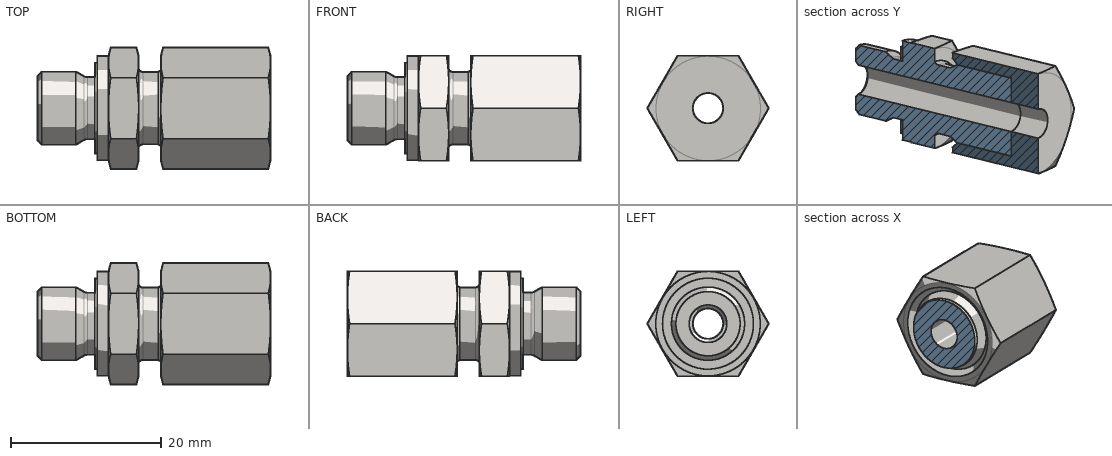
import cadquery as cq
import math


across_flats = 14.0
hex_corner_radius = across_flats / math.sqrt(3)
corner_bevel_angle = math.radians(15)
bevel_start_radius = 6.95

relief_start = 5.13
seal_start = 7.65
collar_start = 7.93
hex_start = 9.44
hex_end = 13.47
nut_start = 16.4
total_length = 31.0

stud_radius = 4.87
stud_chamfer = 0.6
relief_radius = 4.15
relief_angle = math.radians(30)
relief_fillet = 0.9

collar_radius = bevel_start_radius
seal_radius = 6.05

neck_radius = 4.83
neck_fillet = 0.65
neck_fillet_angle = math.radians(60)
flare_start = 16.05
flare_angle = math.radians(30)
shank_radius = 5.5
shank_length = 10.0
mouth_radius = 6.25

bore_radius = 2.0
bore_chamfer = 0.5

hex_bevel = (hex_corner_radius - bevel_start_radius) * math.tan(corner_bevel_angle)
flare_end = flare_start + (shank_radius - neck_radius) / math.tan(flare_angle)


def turned(profile):
    """Revolve a profile, drawn with X along the axis and Y as the radius, about the X axis."""
    return profile.close().revolve(360, (0, 0, 0), (1, 0, 0))


def cylinder(start, end, radius):
    """Cylinder on the X axis."""
    return cq.Workplane("YZ", origin=(start, 0, 0)).circle(radius).extrude(end - start)


def bevelled_hexagon(start, end):
    """Hexagonal bar with flats above and below and its corners bevelled at both ends."""
    bar = (
        cq.Workplane("YZ", origin=(start, 0, 0))
        .polygon(6, 2 * hex_corner_radius)
        .extrude(end - start)
    )
    envelope = turned(
        cq.Workplane("XY")
        .moveTo(start, 0)
        .lineTo(start, bevel_start_radius)
        .lineTo(start + hex_bevel, hex_corner_radius)
        .lineTo(end - hex_bevel, hex_corner_radius)
        .lineTo(end, bevel_start_radius)
        .lineTo(end, 0)
    )
    return bar.intersect(envelope)


def stud():
    """Chamfered stud whose relief runs down a cone and a tangent fillet to the groove floor."""
    fillet_rise = relief_fillet * (1 - math.cos(relief_angle))
    cone_end_radius = relief_radius + fillet_rise
    cone_end = relief_start + (stud_radius - cone_end_radius) / math.tan(relief_angle)
    fillet_end = cone_end + relief_fillet * math.sin(relief_angle)
    fillet_middle = (
        fillet_end - relief_fillet * math.sin(relief_angle / 2),
        relief_radius + relief_fillet * (1 - math.cos(relief_angle / 2)),
    )
    return turned(
        cq.Workplane("XY")
        .lineTo(0, stud_radius - stud_chamfer)
        .lineTo(stud_chamfer, stud_radius)
        .lineTo(relief_start, stud_radius)
        .lineTo(cone_end, cone_end_radius)
        .threePointArc(fillet_middle, (fillet_end, relief_radius))
        .lineTo(collar_start, relief_radius)
        .lineTo(collar_start, 0)
    )


def neck_and_shank():
    """Neck filleted against the hexagon, flaring inside the nut's mouth into the shank."""
    fillet_end = hex_end + neck_fillet * math.sin(neck_fillet_angle)
    fillet_top = neck_radius + neck_fillet * (1 - math.cos(neck_fillet_angle))
    fillet_middle = (
        fillet_end - neck_fillet * math.sin(neck_fillet_angle / 2),
        neck_radius + neck_fillet * (1 - math.cos(neck_fillet_angle / 2)),
    )
    return turned(
        cq.Workplane("XY")
        .moveTo(hex_end, 0)
        .lineTo(hex_end, fillet_top)
        .threePointArc(fillet_middle, (fillet_end, neck_radius))
        .lineTo(flare_start, neck_radius)
        .lineTo(flare_end, shank_radius)
        .lineTo(nut_start + shank_length, shank_radius)
        .lineTo(nut_start + shank_length, 0)
    )


def entry_cone(start, mouth, end, throat):
    """Cone that widens a hole from its throat radius to the mouth radius at its open end."""
    return turned(
        cq.Workplane("XY")
        .moveTo(start, 0)
        .lineTo(start, mouth)
        .lineTo(end, throat)
        .lineTo(end, 0)
    )


bore = cylinder(0, total_length, bore_radius)

fitting_body = (
    stud()
    .union(cylinder(collar_start, hex_start, collar_radius))
    .union(bevelled_hexagon(hex_start, hex_end))
    .union(neck_and_shank())
    .cut(bore)
    .cut(entry_cone(0, bore_radius + bore_chamfer, bore_chamfer, bore_radius))
)

sealing_ring = cylinder(seal_start, collar_start, seal_radius).cut(
    cylinder(seal_start, collar_start, relief_radius)
)

nut = (
    bevelled_hexagon(nut_start, total_length)
    .cut(cylinder(nut_start, nut_start + shank_length, shank_radius))
    .cut(entry_cone(nut_start, mouth_radius, flare_end, shank_radius))
    .cut(bore)
)

result = cq.Compound.makeCompound([fitting_body.val(), sealing_ring.val(), nut.val()])